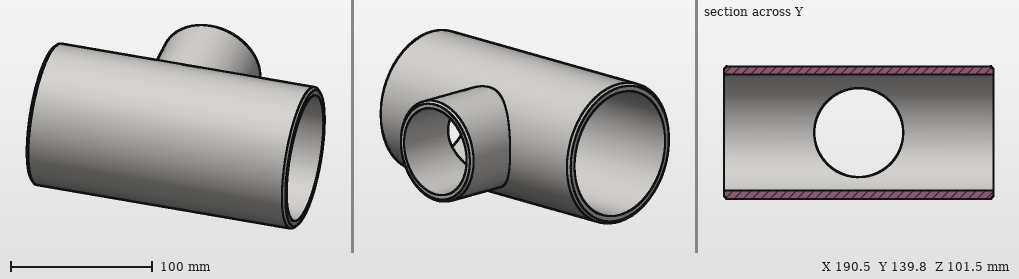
import cadquery as cq

run_length = 190.5
run_diameter = 101.5
run_wall = 5.7
branch_reach = 89.0
branch_diameter = 73.0
branch_wall = 5.1
end_chamfer = 2.0


def run_cylinder(diameter):
    """Full-length cylinder centred on the run axis."""
    return cq.Workplane("YZ").circle(diameter / 2).extrude(run_length / 2, both=True)


def branch_cylinder(diameter):
    """Cylinder from the run axis to the branch end face."""
    return cq.Workplane("XZ").circle(diameter / 2).extrude(-branch_reach)


run_body = run_cylinder(run_diameter).faces("<X or >X").edges().chamfer(end_chamfer)
branch_body = branch_cylinder(branch_diameter).faces(">Y").edges().chamfer(end_chamfer)

run_bore = run_cylinder(run_diameter - 2 * run_wall)
branch_bore = branch_cylinder(branch_diameter - 2 * branch_wall)

result = run_body.union(branch_body).cut(run_bore).cut(branch_bore)